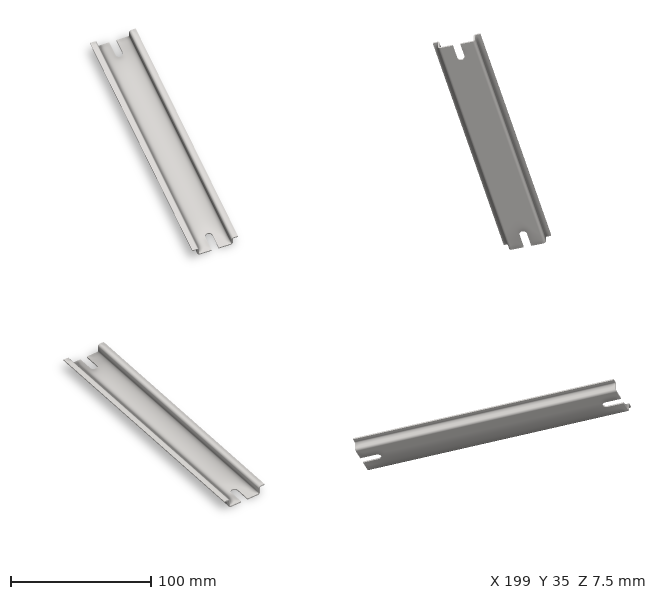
import cadquery as cq

length = 199.0
width = 35.0
height = 7.5
thickness = 1.0
channel_width = 27.0
inner_radius = 0.8
outer_radius = inner_radius + thickness

slot_width = 5.5
slot_depth = 15.0


def make_rail():
    """Extrude the bent-sheet section, centred on the origin."""
    half_length = length / 2
    half_channel = channel_width / 2
    top = height / 2
    half_section = (
        cq.Workplane("YZ", origin=(-half_length, 0, 0))
        .moveTo(0, -top)
        .lineTo(half_channel - outer_radius, -top)
        .radiusArc((half_channel, -top + outer_radius), -outer_radius)
        .lineTo(half_channel, top - outer_radius)
        .radiusArc((half_channel + inner_radius, top - thickness), inner_radius)
        .lineTo(width / 2, top - thickness)
        .lineTo(width / 2, top)
        .lineTo(half_channel + inner_radius, top)
        .radiusArc((half_channel - thickness, top - outer_radius), -outer_radius)
        .lineTo(half_channel - thickness, -top + outer_radius)
        .radiusArc((half_channel - outer_radius, -top + thickness), inner_radius)
        .lineTo(0, -top + thickness)
        .close()
        .extrude(length)
    )
    return half_section.union(half_section.mirror("XZ")).clean()


def make_slot_cutter(end):
    """Slot cutter whose outer round lies beyond the rail end; end is -1 or 1."""
    return (
        cq.Workplane("XY")
        .center(end * length / 2, 0)
        .slot2D(2 * slot_depth, slot_width)
        .extrude(height, both=True)
    )


rail = make_rail()
for end in (-1, 1):
    rail = rail.cut(make_slot_cutter(end))

result = rail